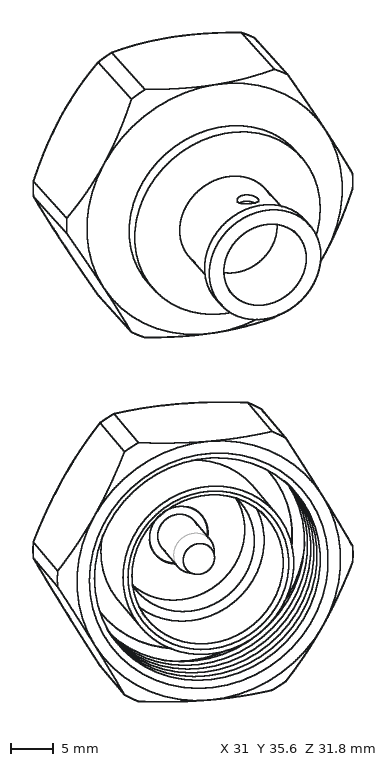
import cadquery as cq
import math

nut_flats = 31.75
nut_corner_radius = 17.8
nut_length = 14.25
nut_chamfer_length = 1.6

thread_minor_radius = 13.6
thread_depth = 0.8
thread_pitch = 1.42
thread_turns = 5
thread_major_radius = thread_minor_radius + thread_depth
thread_start = 0.65
thread_end = thread_start + thread_turns * thread_pitch
cavity_depth = 10.32

seal_radius = 11.53
seal_section_radius = 1.25

sleeve_start = 0.18
sleeve_radius = seal_radius - seal_section_radius
sleeve_bore_radius = 9.1
sleeve_bore_end = 9.18
sleeve_mouth_radius = 9.68
sleeve_chamfer_length = 0.35
inner_bore_radius = 7.95
inner_bore_end = 13.52
pin_recess_radius = 3.52
pin_recess_depth = 0.35

pin_start = 4.5
pin_tip_radius = 1.9
pin_radius = 2.45
pin_taper_length = 2.28

collar_radius = 9.9
collar_end = 16.7
flange_radius = 11.53
flange_end = 18.55
tube_radius = 5.95
tube_end = 28.35
lip_radius = 6.95
lip_start = 29.42
overall_length = 31.0
rear_bore_radius = 5.12
rear_bore_start = 21.35
side_hole_diameter = 2.53
side_hole_x = 25.3


def revolve_profile(points):
    """Revolve (x, radius) points about the X axis."""
    return cq.Workplane("XY").polyline(points).close().revolve(360, (0, 0, 0), (1, 0, 0))


def cylinder(radius, start, end):
    return cq.Workplane("YZ", origin=(start, 0, 0)).circle(radius).extrude(end - start)


def make_nut_blank():
    """Hexagon with flats at top and bottom, corners rounded and both ends chamfered."""
    across_corners = nut_flats / math.cos(math.pi / 6)
    hexagon = cq.Workplane("YZ").polygon(6, across_corners).extrude(nut_length)
    envelope = revolve_profile([
        (0, 0),
        (0, nut_flats / 2),
        (nut_chamfer_length, nut_corner_radius),
        (nut_length - nut_chamfer_length, nut_corner_radius),
        (nut_length, nut_flats / 2),
        (nut_length, 0),
    ])
    return hexagon.intersect(envelope)


def make_threaded_cavity():
    """Lead-in cone, V grooves and a relief behind the last groove."""
    points = [(0, 0), (0, thread_major_radius), (thread_start, thread_minor_radius)]
    for turn in range(thread_turns):
        groove_start = thread_start + turn * thread_pitch
        points.append((groove_start + thread_pitch / 2, thread_major_radius))
        points.append((groove_start + thread_pitch, thread_minor_radius))
    points += [
        (thread_end, thread_major_radius),
        (cavity_depth, thread_major_radius),
        (cavity_depth, 0),
    ]
    return revolve_profile(points)


def make_contact_bore():
    """Stepped bore of the outer contact, with a chamfered mouth and a recess at the pin."""
    recess_end = inner_bore_end + pin_recess_depth
    return revolve_profile([
        (sleeve_start, 0),
        (sleeve_start, sleeve_mouth_radius),
        (sleeve_start + sleeve_chamfer_length, sleeve_bore_radius),
        (sleeve_bore_end, sleeve_bore_radius),
        (sleeve_bore_end, inner_bore_radius),
        (inner_bore_end, inner_bore_radius),
        (inner_bore_end, pin_recess_radius),
        (recess_end, pin_recess_radius),
        (recess_end, 0),
    ])


def make_pin():
    return revolve_profile([
        (pin_start, 0),
        (pin_start, pin_tip_radius),
        (pin_start + pin_taper_length, pin_radius),
        (collar_end, pin_radius),
        (collar_end, 0),
    ])


def make_seal():
    return cq.Workplane("XY").center(cavity_depth, seal_radius).circle(seal_section_radius).revolve(
        360, (0, -seal_radius, 0), (1, -seal_radius, 0))


def make_rear_body():
    """Collar, flange and tube ending in a flared lip."""
    return revolve_profile([
        (nut_length, 0),
        (nut_length, collar_radius),
        (collar_end, collar_radius),
        (collar_end, flange_radius),
        (flange_end, flange_radius),
        (flange_end, tube_radius),
        (tube_end, tube_radius),
        (lip_start, lip_radius),
        (overall_length, lip_radius),
        (overall_length, 0),
    ])


def make_side_hole():
    """Hole through the upper wall of the tube only."""
    return (
        cq.Workplane("XY")
        .center(side_hole_x, 0)
        .circle(side_hole_diameter / 2)
        .extrude(tube_radius)
    )


nut = make_nut_blank().cut(make_threaded_cavity())
sleeve = cylinder(sleeve_radius, sleeve_start, nut_length)
result = (
    nut.union(sleeve)
    .union(make_seal())
    .union(make_rear_body())
    .cut(make_contact_bore())
    .union(make_pin())
    .cut(cylinder(rear_bore_radius, rear_bore_start, overall_length))
    .cut(make_side_hole())
)